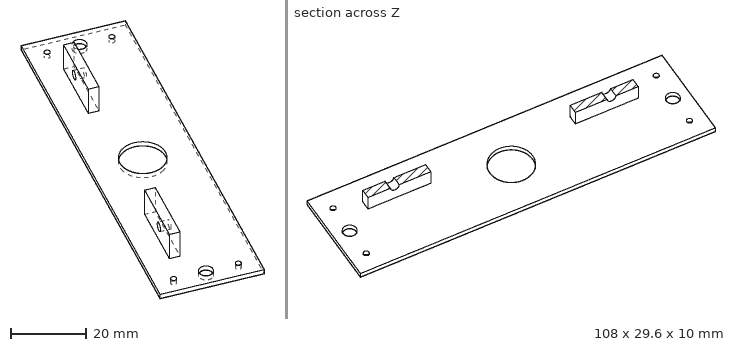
import cadquery as cq

plate_length = 108.0
plate_width = 29.6
plate_thickness = 1.5
total_height = 10.0

center_hole_diameter = 13.0
end_hole_diameter = 4.0
corner_hole_diameter = 1.6
end_hole_x = 49.1
corner_hole_y = 9.2

tab_length = 19.2
tab_thickness = 3.0
tab_outer_x = 41.1
tab_y = -5.9
tab_center_x = tab_outer_x - tab_length / 2
tab_height = total_height - plate_thickness

tab_hole_diameter = 2.6
tab_hole_end_distance = 8.2
tab_hole_x = tab_outer_x - tab_hole_end_distance
tab_hole_z = 6.0


def make_plate():
    """Flat plate with a central opening and three holes at each end."""
    end_points = [(side * end_hole_x, 0) for side in (-1, 1)]
    corner_points = [(x, y) for x, _ in end_points for y in (-corner_hole_y, corner_hole_y)]
    return (
        cq.Workplane("XY")
        .box(plate_length, plate_width, plate_thickness, centered=(True, True, False))
        .faces(">Z").workplane()
        .hole(center_hole_diameter)
        .pushPoints(end_points).hole(end_hole_diameter)
        .pushPoints(corner_points).hole(corner_hole_diameter)
    )


def make_tab(side):
    """Upright tab with its cross hole; side is -1 or 1 along X."""
    tab = (
        cq.Workplane("XY")
        .box(tab_length, tab_thickness, tab_height, centered=(True, True, False))
        .translate((side * tab_center_x, tab_y, plate_thickness))
    )
    cross_hole = (
        cq.Workplane("XZ", origin=(side * tab_hole_x, tab_y, tab_hole_z))
        .circle(tab_hole_diameter / 2)
        .extrude(tab_thickness, both=True)
    )
    return tab.cut(cross_hole)


result = make_plate()
for side in (-1, 1):
    result = result.union(make_tab(side))